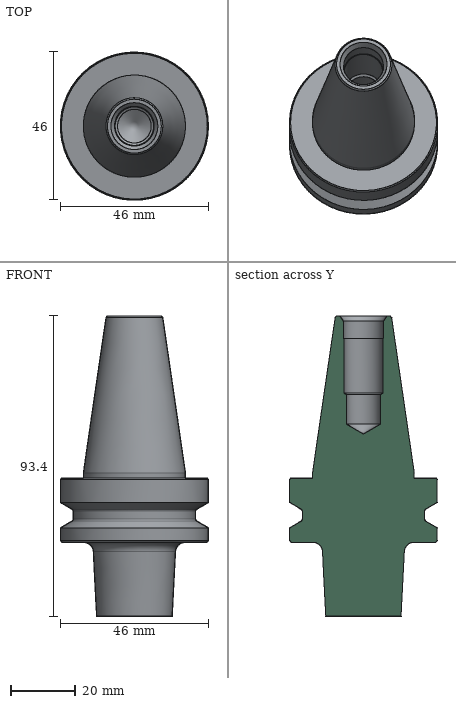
import cadquery as cq
import math

total_length = 93.4

nose_end_radius = 11.8
nose_root_radius = 12.8
nose_fillet_start = 20.2

flange_diameter = 46.0
flange_radius = flange_diameter / 2
flange_bottom = 23.0
flange_top = 43.0
flange_bottom_chamfer = 0.6
flange_top_chamfer = 0.4
groove_radius = 19.1
groove_middle = 31.5
groove_mouth_width = 7.8
groove_wall_angle = math.radians(30)
groove_fillet = 0.7

shank_radius = 15.9
shank_land_top = 44.6
taper_ratio = 7 / 24
shank_end_chamfer = 0.5

mouth_radius = 7.3
pilot_radius = 6.2
mouth_depth = 1.7
pilot_depth = 7.0
thread_radius = 6.0
thread_depth = 24.0
core_radius = 5.2
core_depth = 33.6
drill_point_angle = math.radians(120)


def revolve_profile(profile):
    """Turn a closed (radius, Z) profile about the Z axis."""
    return profile.close().revolve(360, (0, 0, 0), (0, 1, 0))


def make_nose():
    """Tapered nose whose root fillet is tangent to both the cone and the flange."""
    slope = math.atan2(nose_root_radius - nose_end_radius, nose_fillet_start)
    fillet_radius = (flange_bottom - nose_fillet_start) / (1 - math.sin(slope))
    center_r = nose_root_radius + fillet_radius * math.cos(slope)
    center_z = flange_bottom - fillet_radius
    middle_angle = (math.pi / 2 + math.pi - slope) / 2
    fillet_middle = (
        center_r + fillet_radius * math.cos(middle_angle),
        center_z + fillet_radius * math.sin(middle_angle),
    )
    return revolve_profile(
        cq.Workplane("XZ")
        .lineTo(nose_end_radius, 0)
        .lineTo(nose_root_radius, nose_fillet_start)
        .threePointArc(fillet_middle, (center_r, flange_bottom))
        .lineTo(0, flange_bottom)
    )


def make_flange():
    """Flange disc with chamfered rims and a V groove with rounded root corners."""
    disc = (
        cq.Workplane("XY", origin=(0, 0, flange_bottom))
        .circle(flange_radius)
        .extrude(flange_top - flange_bottom)
        .faces("<Z").edges().chamfer(flange_bottom_chamfer)
        .faces(">Z").edges().chamfer(flange_top_chamfer)
    )
    half_mouth = groove_mouth_width / 2
    half_root = half_mouth - (flange_radius - groove_radius) * math.tan(groove_wall_angle)
    groove = revolve_profile(
        cq.Workplane("XZ")
        .moveTo(flange_radius, groove_middle - half_mouth)
        .lineTo(groove_radius, groove_middle - half_root)
        .lineTo(groove_radius, groove_middle + half_root)
        .lineTo(flange_radius, groove_middle + half_mouth)
    )
    root_edges = cq.selectors.RadiusNthSelector(0)
    return disc.cut(groove.edges(root_edges).fillet(groove_fillet))


def make_shank():
    """Short cylindrical land, 7/24 taper and chamfered end."""
    taper_top = total_length - shank_end_chamfer
    taper_end_radius = shank_radius - (taper_top - shank_land_top) * taper_ratio / 2
    return revolve_profile(
        cq.Workplane("XZ")
        .moveTo(0, flange_top)
        .lineTo(shank_radius, flange_top)
        .lineTo(shank_radius, shank_land_top)
        .lineTo(taper_end_radius, taper_top)
        .lineTo(taper_end_radius - shank_end_chamfer, total_length)
        .lineTo(0, total_length)
    )


def make_bore():
    """Countersunk mouth, pilot bore, plain thread bore and core hole with a drill point."""
    pilot_floor = total_length - pilot_depth
    thread_floor = total_length - thread_depth
    core_floor = total_length - core_depth
    point_slope = math.tan(drill_point_angle / 2)
    return revolve_profile(
        cq.Workplane("XZ")
        .moveTo(0, total_length)
        .lineTo(mouth_radius, total_length)
        .lineTo(pilot_radius, total_length - mouth_depth)
        .lineTo(pilot_radius, pilot_floor)
        .lineTo(thread_radius, pilot_floor)
        .lineTo(thread_radius, thread_floor)
        .lineTo(core_radius, thread_floor - (thread_radius - core_radius) / point_slope)
        .lineTo(core_radius, core_floor)
        .lineTo(0, core_floor - core_radius / point_slope)
    )


result = make_nose().union(make_flange()).union(make_shank()).cut(make_bore())